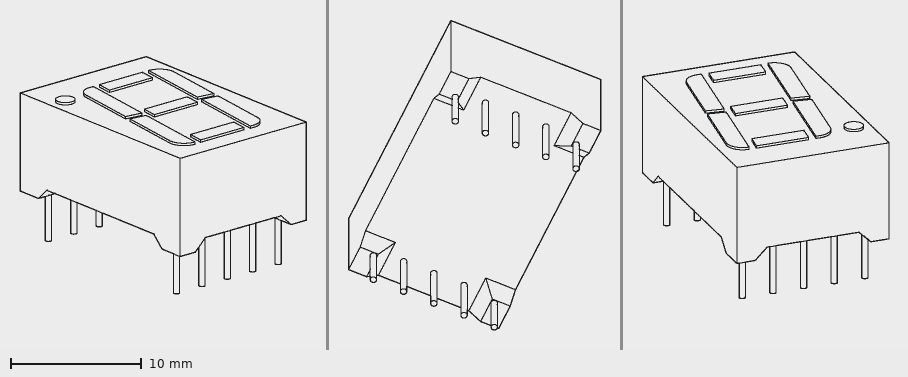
import cadquery as cq
import math

body_length = 19.05
body_width = 12.6
body_height = 8.0

channel_depth = 0.95
channel_flare = 1.0
channel_mouth_x = 14.7
channel_mouth_y = 9.56

pin_diameter = 0.5
pin_drop = 3.77
pin_row_spacing = 15.24
pin_pitch = 2.53
pins_per_row = 5

segment_height = 0.2
digit_x = 0.61
digit_y = 0.35
digit_half_length = 7.24
slant_angle = math.radians(7.8)
slant = math.tan(slant_angle)
long_segment_offset = 2.76
long_segment_thickness = 1.49
long_segment_end = 0.3
tip_radius = 1.3
bar_width = 1.43
bar_length = 4.3
bar_centers = (-6.53, -0.13, 6.45)

dot_diameter = 1.5
dot_x = -5.81
dot_y = -4.9


def channel(plane, mouth_width, run):
    """Trapezoidal channel, wider at the mouth, cut right through along the plane normal."""
    half_mouth = mouth_width / 2
    half_roof = half_mouth - channel_flare
    outline = [(-half_mouth, 0), (half_mouth, 0), (half_roof, channel_depth), (-half_roof, channel_depth)]
    return cq.Workplane(plane).polyline(outline).close().extrude(run / 2, both=True)


def raised_outline(points):
    """Pad standing on the top face, with its outline given from the digit center."""
    top = cq.Workplane("XY", origin=(digit_x, digit_y, body_height))
    return top.polyline(points).close().extrude(segment_height)


def long_segment(side):
    """Left-hand long segment above (side = 1) or below (side = -1) the digit's center line."""
    inner_end_y = side * long_segment_offset + slant * long_segment_end
    inner_tip_y = side * long_segment_offset + slant * digit_half_length
    outer_tip_y = inner_tip_y + side * long_segment_thickness / math.cos(slant_angle)
    outer_end_x = -long_segment_end + side * long_segment_thickness * math.sin(slant_angle)
    outer_end_y = inner_end_y + side * long_segment_thickness * math.cos(slant_angle)
    pad = raised_outline([
        (-digit_half_length, inner_tip_y),
        (-long_segment_end, inner_end_y),
        (outer_end_x, outer_end_y),
        (-digit_half_length, outer_tip_y),
    ])
    outer_corner = (digit_x - digit_half_length, digit_y + outer_tip_y, body_height + segment_height / 2)
    return pad.edges(cq.selectors.NearestToPointSelector(outer_corner)).fillet(tip_radius)


def cross_bar(center_x):
    """Short segment along Y whose ends follow the slant."""
    left = center_x - bar_width / 2
    right = center_x + bar_width / 2
    half = bar_length / 2
    return raised_outline([
        (left, -slant * left - half),
        (right, -slant * right - half),
        (right, -slant * right + half),
        (left, -slant * left + half),
    ])


result = cq.Workplane("XY").box(body_length, body_width, body_height, centered=(True, True, False))
result = result.cut(channel("XZ", channel_mouth_x, body_width))
result = result.cut(channel("YZ", channel_mouth_y, body_length))

pins = (
    cq.Workplane("XY", origin=(0, 0, -pin_drop))
    .rarray(pin_row_spacing, pin_pitch, 2, pins_per_row)
    .circle(pin_diameter / 2)
    .extrude(pin_drop + channel_depth)
)
result = result.union(pins)

for side in (1, -1):
    segment = long_segment(side)
    opposite = segment.rotate((digit_x, digit_y, 0), (digit_x, digit_y, 1), 180)
    result = result.union(segment).union(opposite)

for center_x in bar_centers:
    result = result.union(cross_bar(center_x))

dot = cq.Workplane("XY", origin=(dot_x, dot_y, body_height)).circle(dot_diameter / 2).extrude(segment_height)
result = result.union(dot)